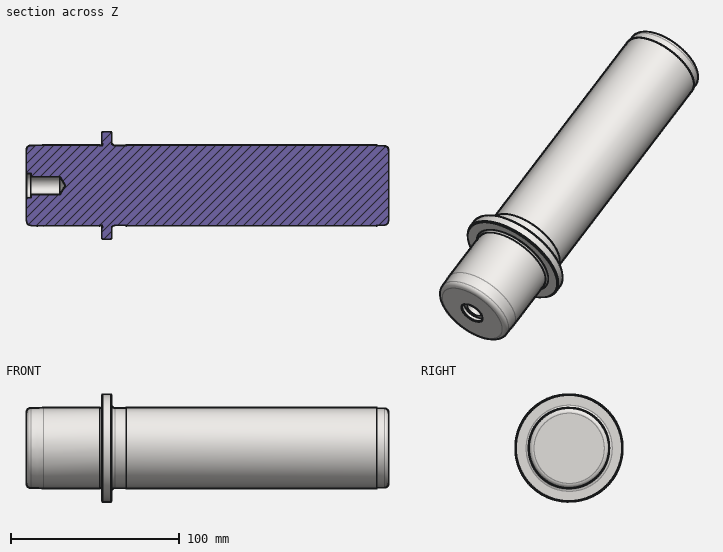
import cadquery as cq
import math

length = 215.0
lead_in_end = 10.0
flange_start = 44.7
flange_end = 50.7
relief_end = 59.3
tip_start = 208.0

flange_radius = 32.0
body_radius = 24.0
relief_radius = 23.9
lead_in_radius = 23.9
tip_radius = 23.6

end_round = 2.8
flange_chamfer = 0.6
neck_fillet = 1.7

undercut_radius = 0.9
undercut_offset = 0.5

counterbore_radius = 7.0
counterbore_depth = 2.8
counterbore_chamfer = 0.5
drill_radius = 5.2
drill_depth = 20.0
drill_point_angle = 118.0

ARC_MIDDLE = math.sqrt(0.5)


def add_arc(profile, center, radius, direction, end):
    """Draw a quarter arc bulging from its center in a diagonal direction."""
    middle = (
        center[0] + direction[0] * radius * ARC_MIDDLE,
        center[1] + direction[1] * radius * ARC_MIDDLE,
    )
    return profile.threePointArc(middle, end)


def make_pillar():
    """Revolve the half outline of the flanged pillar about X."""
    chamfer_radius = flange_radius - flange_chamfer
    round_center_radius = tip_radius - end_round
    lead_in_center_radius = lead_in_radius - end_round
    neck_center = (flange_end + neck_fillet, relief_radius + neck_fillet)

    profile = cq.Workplane("XY").lineTo(0, lead_in_center_radius)
    profile = add_arc(
        profile,
        (end_round, lead_in_center_radius),
        end_round,
        (-1, 1),
        (end_round, lead_in_radius),
    )
    profile = profile.lineTo(lead_in_end, body_radius)
    profile = profile.lineTo(flange_start, body_radius)

    profile = profile.lineTo(flange_start, chamfer_radius)
    profile = profile.lineTo(flange_start + flange_chamfer, flange_radius)
    profile = profile.lineTo(flange_end - flange_chamfer, flange_radius)
    profile = profile.lineTo(flange_end, chamfer_radius)
    profile = profile.lineTo(flange_end, neck_center[1])
    profile = add_arc(profile, neck_center, neck_fillet, (-1, -1), (neck_center[0], relief_radius))
    profile = profile.lineTo(relief_end, relief_radius)

    profile = profile.lineTo(relief_end, body_radius)
    profile = profile.lineTo(tip_start, body_radius)
    profile = profile.lineTo(tip_start, tip_radius)
    profile = profile.lineTo(length - end_round, tip_radius)
    profile = add_arc(
        profile,
        (length - end_round, round_center_radius),
        end_round,
        (1, 1),
        (length, round_center_radius),
    )
    profile = profile.lineTo(length, 0).close()
    return profile.revolve(360, (0, 0, 0), (1, 0, 0))


def make_undercut():
    """Ring of round section cutting into both the head and the flange face."""
    return (
        cq.Workplane("XY")
        .center(flange_start - undercut_offset, body_radius + undercut_offset)
        .circle(undercut_radius)
        .revolve(
            360,
            (0, -body_radius - undercut_offset, 0),
            (1, -body_radius - undercut_offset, 0),
        )
    )


def make_hole():
    """Counterbored hole with a conical drill point, opening at X = 0."""
    point_length = drill_radius / math.tan(math.radians(drill_point_angle / 2))
    profile = (
        cq.Workplane("XY")
        .lineTo(0, counterbore_radius + counterbore_chamfer)
        .lineTo(counterbore_chamfer, counterbore_radius)
        .lineTo(counterbore_depth, counterbore_radius)
        .lineTo(counterbore_depth, drill_radius)
        .lineTo(drill_depth, drill_radius)
        .lineTo(drill_depth + point_length, 0)
        .close()
    )
    return profile.revolve(360, (0, 0, 0), (1, 0, 0))


result = make_pillar().cut(make_undercut()).cut(make_hole())